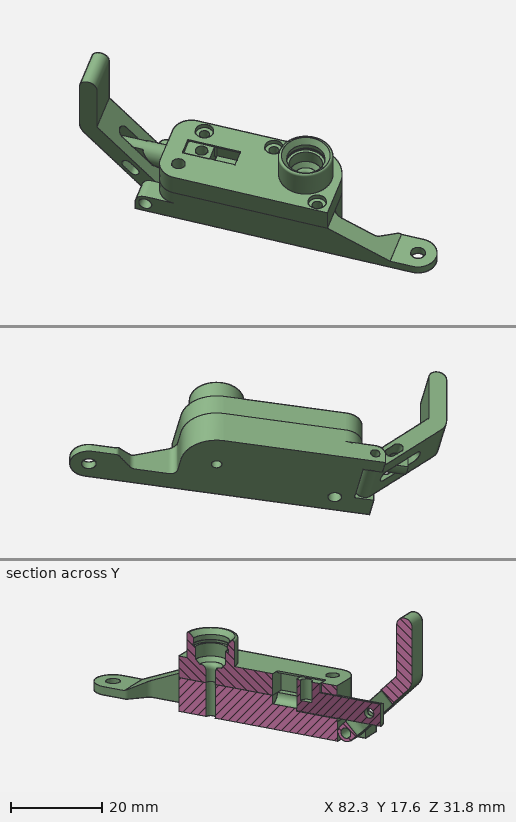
import cadquery as cq
import math

base_length = 67.9
body_width = 17.6
lever_top = 31.8
lever_overhang = 14.4
middle_y = 9.6
split_z = 8.0
cover_top = 13.0

body_start = 4.45
front_corner_radius = 4.4
boss_x = 36.2
back_corner_radius = body_width - middle_y
body_end = boss_x + back_corner_radius
mount_hole_y = 4.2
body_mount_x = 8.65
body_mount_diameter = 3.0

foot_thickness = 2.0
foot_radius = 4.2
foot_x = base_length - foot_radius
foot_start = 58.6
foot_hole_diameter = 3.2
flare_end = 58.05
arm_width = 4.5
arm_fillet = 1.65
flare_fillet = 1.0

hinge_radius = 2.3
hinge_x = hinge_radius
hinge_z = hinge_radius
ledge_z = hinge_z + hinge_radius
near_ear_hole_diameter = 3.0
far_ear_hole_diameter = 2.05
lever_slot_width = 9.5
lever_slot_depth = 4.4

lever_width = 9.1
lever_thickness = 4.0
lever_tilt = 45
diagonal = math.cos(math.radians(lever_tilt))
lever_hole_diameter = 2.3
pin_diameter = 2.2
pin_slot_travel = 2.5
tip_slot_width = 3.0
tip_slot_length = 12.5
tip_slot_distance = 8.2

plunger_diameter = 5.3
bore_diameter = 5.35
plunger_start = -6.4
plunger_end = 14.65
tip_width = 2.6
shoulder_gap = 1.3
pin_x = -3.5
lug_length = 5.9
lug_width = 3.8
lug_drop = 0.25
lug_hole_diameter = 2.7
lug_hole_x = 12.3
window_start = 8.5
window_end = 20.6
window_width = 4.0
spring_pocket_width = 7.4
spring_pocket_lip = 0.4

screw_points = [(11.2, 15.15), (27.2, 15.15), (41.1, 2.5)]
screw_hole_diameter = 2.2
screw_head_diameter = 4.0
screw_head_depth = 1.1

boss_height = 6.0
boss_radius = 6.0
boss_fillet = 0.5
rim_radius = 5.35
mouth_radius = 4.2
groove_radius = 4.4
chamber_radius = 3.7
seat_radius = 2.7
outlet_radius = 1.15
outlet_fillet = outlet_radius
groove_top_depth = 2.4
groove_bottom_depth = 3.0


def box(x0, x1, y0, y1, z0, z1):
    return cq.Workplane("XY").box(x1 - x0, y1 - y0, z1 - z0, centered=False).translate((x0, y0, z0))


def upright_cylinder(x, y, diameter, z0, z1):
    return cq.Workplane("XY", origin=(x, y, z0)).circle(diameter / 2).extrude(z1 - z0)


def cross_cylinder(x, z, diameter):
    """Cylinder along Y across the full width of the body."""
    return cq.Workplane("XZ", origin=(x, 0, z)).circle(diameter / 2).extrude(-body_width)


def body_block(z0, z1):
    """Block with two rounded front corners and a back corner concentric with the boss."""
    block = box(body_start, body_end, 0, body_width, z0, z1)
    block = block.edges("|Z and <X").fillet(front_corner_radius)
    return block.edges("|Z and >X and >Y").fillet(back_corner_radius)


def plunger_bore():
    """Bore for the plunger, followed by a narrower trough for its spring under the window."""
    bore = cq.Workplane("YZ", origin=(body_start, middle_y, split_z)).circle(bore_diameter / 2)
    bore = bore.extrude(plunger_end - body_start)
    trough = cq.Workplane("YZ", origin=(plunger_end, middle_y, split_z)).circle(window_width / 2)
    return bore.union(trough.extrude(window_end - plunger_end))


def tail_plan():
    """Narrow arm that widens at 45 degrees into a round-ended foot."""
    foot_width = 2 * foot_radius
    flare = foot_width - arm_width
    root_y = arm_width + arm_fillet
    plan = (
        cq.Workplane("XY")
        .moveTo(body_end - front_corner_radius, 0)
        .lineTo(foot_x, 0)
        .threePointArc((base_length, foot_radius), (foot_x, foot_width))
        .lineTo(flare_end, foot_width)
        .lineTo(flare_end - flare, arm_width)
        .lineTo(body_end + arm_fillet, arm_width)
        .radiusArc((body_end, root_y), arm_fillet)
        .lineTo(body_end - front_corner_radius, root_y)
        .close()
        .extrude(split_z)
    )
    flare_foot = cq.selectors.NearestToPointSelector((flare_end - flare, arm_width, split_z / 2))
    plan = plan.edges(flare_foot).fillet(arm_fillet)
    flare_corner = cq.selectors.NearestToPointSelector((flare_end, foot_width, split_z / 2))
    return plan.edges(flare_corner).fillet(flare_fillet)


def make_tail():
    side = (
        cq.Workplane("XZ")
        .moveTo(0, 0)
        .lineTo(base_length, 0)
        .lineTo(base_length, foot_thickness)
        .lineTo(foot_start, foot_thickness)
        .lineTo(body_end, split_z)
        .lineTo(0, split_z)
        .close()
        .extrude(-body_width)
    )
    return tail_plan().intersect(side)


def make_base():
    ears = box(0, body_start + front_corner_radius, 0, body_width, 0, ledge_z)
    ears = ears.edges("|Y and <X and >Z").fillet(hinge_radius)
    lower_body = body_block(0, split_z)
    base = ears.union(lower_body).union(make_tail())
    slot_y = middle_y - lever_slot_width / 2
    base = base.cut(box(0, lever_slot_depth, slot_y, slot_y + lever_slot_width, 0, ledge_z))
    base = base.cut(cross_cylinder(hinge_x, hinge_z, far_ear_hole_diameter))
    near_hole = cross_cylinder(hinge_x, hinge_z, near_ear_hole_diameter)
    base = base.cut(near_hole.intersect(box(0, body_start, 0, slot_y, 0, ledge_z)))
    base = base.cut(plunger_bore())
    base = base.cut(upright_cylinder(body_mount_x, mount_hole_y, body_mount_diameter, 0, split_z))
    base = base.cut(upright_cylinder(foot_x, foot_radius, foot_hole_diameter, 0, foot_thickness))
    return base.cut(upright_cylinder(boss_x, middle_y, 2 * outlet_radius, 0, split_z))


def boss_bore():
    """Turned bore: conical mouth, grooved socket, chamber, conical seat and rounded outlet."""
    boss_top = cover_top + boss_height
    mouth_z = boss_top - (rim_radius - mouth_radius)
    seat_z = cover_top - (chamber_radius - seat_radius)
    curve_shift = outlet_fillet * (1 - math.sqrt(0.5))
    curve_middle = (outlet_radius + curve_shift, seat_z - curve_shift)
    profile = (
        cq.Workplane("XZ", origin=(boss_x, middle_y, 0))
        .moveTo(0, boss_top)
        .lineTo(rim_radius, boss_top)
        .lineTo(mouth_radius, mouth_z)
        .lineTo(mouth_radius, boss_top - groove_top_depth)
        .lineTo(groove_radius, boss_top - groove_top_depth)
        .lineTo(groove_radius, boss_top - groove_bottom_depth)
        .lineTo(chamber_radius, boss_top - groove_bottom_depth)
        .lineTo(chamber_radius, cover_top)
        .lineTo(seat_radius, seat_z)
        .lineTo(outlet_radius + outlet_fillet, seat_z)
        .threePointArc(curve_middle, (outlet_radius, seat_z - outlet_fillet))
        .lineTo(outlet_radius, split_z)
        .lineTo(0, split_z)
        .close()
    )
    return profile.revolve(360, (0, 0, 0), (0, 1, 0))


def make_cover():
    boss = upright_cylinder(boss_x, middle_y, 2 * boss_radius, cover_top, cover_top + boss_height)
    boss = boss.faces(">Z").edges().fillet(boss_fillet)
    cover = body_block(split_z, cover_top).union(boss).cut(boss_bore())
    for x, y in screw_points:
        cover = cover.cut(upright_cylinder(x, y, screw_hole_diameter, split_z, cover_top))
        head_floor = cover_top - screw_head_depth
        cover = cover.cut(upright_cylinder(x, y, screw_head_diameter, head_floor, cover_top))
    cover = cover.cut(upright_cylinder(body_mount_x, mount_hole_y, body_mount_diameter, split_z, cover_top))
    window_y = middle_y - window_width / 2
    window = box(window_start, window_end, window_y, window_y + window_width, split_z, cover_top)
    pocket_y = middle_y - spring_pocket_width / 2
    pocket_top = cover_top - spring_pocket_lip
    pocket = box(plunger_end, window_end, pocket_y, pocket_y + spring_pocket_width, split_z, pocket_top)
    return cover.cut(window).cut(pocket).cut(plunger_bore())


def lever_face_x(z, offset):
    """X at height z on a plane parallel to the tilted arm, offset from the arm's centre plane."""
    return hinge_x + hinge_z - z + offset / diagonal


def make_plunger():
    rod = cq.Workplane("YZ", origin=(plunger_start, middle_y, split_z)).circle(plunger_diameter / 2)
    rod = rod.extrude(plunger_end - plunger_start)

    low_z = split_z - plunger_diameter
    high_z = split_z + plunger_diameter
    shoulder_offset = lever_thickness / 2 + shoulder_gap
    waste = (
        cq.Workplane("XZ")
        .moveTo(plunger_start - plunger_diameter, low_z)
        .lineTo(lever_face_x(low_z, shoulder_offset), low_z)
        .lineTo(lever_face_x(high_z, shoulder_offset), high_z)
        .lineTo(plunger_start - plunger_diameter, high_z)
        .close()
        .extrude(-body_width)
    )
    tip_y = middle_y - tip_width / 2
    kept = box(plunger_start, plunger_end, tip_y, tip_y + tip_width, low_z, high_z)
    rod = rod.cut(waste.cut(kept))
    rod = rod.cut(cross_cylinder(pin_x, split_z, pin_diameter))

    lug_y = middle_y - lug_width / 2
    lug_top = cover_top - lug_drop
    lug = box(plunger_end - lug_length, plunger_end, lug_y, lug_y + lug_width, split_z, lug_top)
    lug_hole = upright_cylinder(lug_hole_x, middle_y, lug_hole_diameter, split_z, lug_top)
    return rod.union(lug).cut(lug_hole)


def make_lever():
    half = lever_thickness / 2
    left = -lever_overhang
    right = left + lever_thickness
    round_z = lever_top - half
    bend_z = hinge_x + hinge_z + half / diagonal - right
    lever_y = middle_y - lever_width / 2

    bend_mid_angle = math.radians(180 + lever_tilt / 2)
    bend_mid = (
        right + lever_thickness * math.cos(bend_mid_angle),
        bend_z + lever_thickness * math.sin(bend_mid_angle),
    )
    lever = (
        cq.Workplane("XZ", origin=(0, lever_y, 0))
        .moveTo(left, bend_z)
        .lineTo(left, round_z)
        .threePointArc((left + half, lever_top), (right, round_z))
        .lineTo(right, bend_z)
        .lineTo(hinge_x + half * diagonal, hinge_z + half * diagonal)
        .threePointArc(
            (hinge_x + half * diagonal, hinge_z - half * diagonal),
            (hinge_x - half * diagonal, hinge_z - half * diagonal),
        )
        .lineTo(right - lever_thickness * diagonal, bend_z - lever_thickness * diagonal)
        .threePointArc(bend_mid, (left, bend_z))
        .close()
        .extrude(-lever_width)
    )
    lever = lever.cut(cross_cylinder(hinge_x, hinge_z, lever_hole_diameter))

    slot_plane = cq.Plane(
        origin=(hinge_x - tip_slot_distance * diagonal, middle_y, hinge_z + tip_slot_distance * diagonal),
        xDir=(1, 0, -1),
        normal=(1, 0, 1),
    )
    tip_slot = cq.Workplane(slot_plane).slot2D(tip_slot_length, tip_slot_width)
    lever = lever.cut(tip_slot.extrude(lever_thickness, both=True))

    pin_slot_shift = pin_slot_travel / 2 * diagonal
    pin_slot = (
        cq.Workplane("XZ", origin=(pin_x + pin_slot_shift, 0, split_z - pin_slot_shift))
        .slot2D(pin_slot_travel + pin_diameter, pin_diameter, -lever_tilt)
        .extrude(-body_width)
    )
    return lever.cut(pin_slot)


base = make_base()
cover = make_cover()
plunger = make_plunger()
lever = make_lever()

bodies = [body.solids().val() for body in (base, cover, plunger, lever)]
result = cq.Compound.makeCompound(bodies)